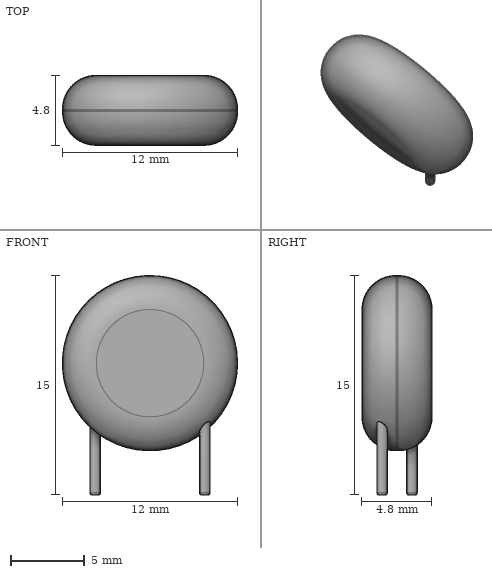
import cadquery as cq

body_diameter = 12.0
body_thickness = 4.8
rim_width = 0.15
edge_radius = (body_thickness - rim_width) / 2

overall_height = 15.03
lead_diameter = 0.72
lead_spacing_x = 7.5
lead_spacing_y = 2.05
lead_tip_fillet = 0.18
lead_bottom = body_diameter / 2 - overall_height


def make_body():
    """Round disc with both circular edges fully rounded down to the rim."""
    disc = cq.Workplane("XZ").circle(body_diameter / 2).extrude(body_thickness / 2, both=True)
    return disc.edges("%CIRCLE").fillet(edge_radius)


def make_lead(x, y):
    """Lead from its rounded tip up to the disc's mid-height, inside the body."""
    lead = cq.Workplane("XY", origin=(x, y, lead_bottom)).circle(lead_diameter / 2).extrude(-lead_bottom)
    return lead.faces("<Z").edges().fillet(lead_tip_fillet)


result = make_body()
for side in (-1, 1):
    result = result.union(make_lead(side * lead_spacing_x / 2, -side * lead_spacing_y / 2))